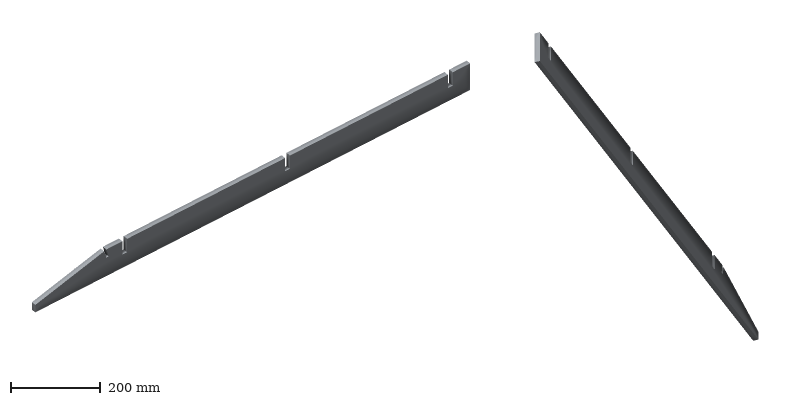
import cadquery as cq
import math

thickness = 12.45
length = 1247.54
height = 76.2

notch_count = 3
notch_width = 13.7
notch_depth = height / 2
first_notch_offset = 56.85
notch_spacing = 467.0

nose_height = 21.25
nose_angle = 15.0

slot_width = 6.5
slot_depth = 23.0
slot_distance = 208.0

back_y = length / 2
nose_y = -length / 2


def make_plank():
    """Side profile with the sloping nose, extruded across the thickness."""
    slope_run = (height - nose_height) / math.tan(math.radians(nose_angle))
    return (
        cq.Workplane("YZ")
        .moveTo(back_y, 0)
        .lineTo(back_y, height)
        .lineTo(nose_y + slope_run, height)
        .lineTo(nose_y, nose_height)
        .lineTo(nose_y, 0)
        .close()
        .extrude(thickness / 2, both=True)
    )


def make_top_cutter(width, depth):
    """Box centred on the Z axis, reaching equally far above and below Z = 0."""
    return cq.Workplane("XY").box(2 * thickness, width, 2 * depth)


def cut_notches(plank):
    """Cut the evenly spaced notches into the top edge."""
    cutter = make_top_cutter(notch_width, notch_depth)
    for index in range(notch_count):
        notch_y = back_y - first_notch_offset - index * notch_spacing
        plank = plank.cut(cutter.translate((0, notch_y, height)))
    return plank


def cut_slope_slot(plank):
    """Cut the narrow slot perpendicular to the sloping nose face."""
    angle = math.radians(nose_angle)
    slot_y = nose_y + slot_distance * math.cos(angle)
    slot_z = nose_height + slot_distance * math.sin(angle)
    cutter = make_top_cutter(slot_width, slot_depth).rotate((0, 0, 0), (1, 0, 0), nose_angle)
    return plank.cut(cutter.translate((0, slot_y, slot_z)))


result = cut_slope_slot(cut_notches(make_plank()))